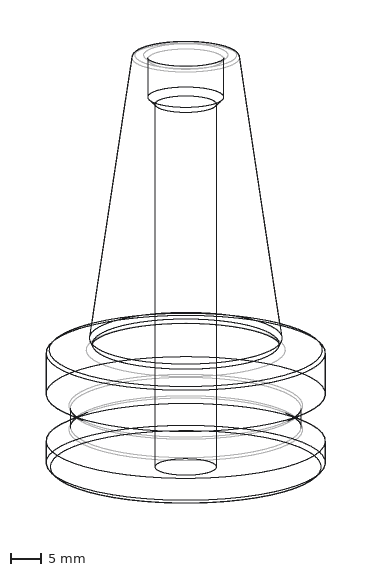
import cadquery as cq
import math

total_height = 70.4
taper_length = 48.4
gauge_z = total_height - taper_length
neck_height = 2.0
flange_top_z = gauge_z - neck_height

taper_ratio = 7 / 24
gauge_radius = 31.75 / 2
tip_radius = gauge_radius - taper_length * taper_ratio / 2
tip_fillet = 0.5

neck_radius = 15.4
neck_fillet = 1.0

flange_radius = 46 / 2
flange_top_chamfer = 0.5
flange_bottom_chamfer = 0.7
groove_floor_radius = 38 / 2
groove_center_z = 8.45
groove_width = 8.0
groove_flank_angle = 28
groove_corner_fillet = 0.5

bore_radius = 10.11 / 2
counterbore_radius = 12.5 / 2
mouth_fillet = 0.7
counterbore_depth = 7.2
seat_angle = 45


def revolve_profile(profile):
    return profile.close().revolve(360, (0, 0, 0), (0, 1, 0))


def make_flange():
    flange = cq.Workplane("XY").circle(flange_radius).extrude(flange_top_z)
    flange = flange.faces(">Z").chamfer(flange_top_chamfer)
    return flange.faces("<Z").chamfer(flange_bottom_chamfer)


def make_groove():
    """Ring-shaped cutter with sloping flanks and rounded floor corners."""
    half_width = groove_width / 2
    flank_height = (flange_radius - groove_floor_radius) * math.tan(math.radians(groove_flank_angle))
    half_floor = half_width - flank_height
    groove = revolve_profile(
        cq.Workplane("XZ")
        .moveTo(groove_floor_radius, groove_center_z - half_floor)
        .lineTo(flange_radius, groove_center_z - half_width)
        .lineTo(flange_radius, groove_center_z + half_width)
        .lineTo(groove_floor_radius, groove_center_z + half_floor)
    )
    floor_edges = cq.selectors.RadiusNthSelector(0)
    return groove.edges(floor_edges).fillet(groove_corner_fillet)


def make_taper():
    """Steep taper with a rounded tip, standing on the relief neck."""
    taper = revolve_profile(
        cq.Workplane("XZ")
        .moveTo(0, flange_top_z)
        .lineTo(neck_radius + neck_fillet, flange_top_z)
        .radiusArc((neck_radius, flange_top_z + neck_fillet), neck_fillet)
        .lineTo(gauge_radius, gauge_z)
        .lineTo(tip_radius, total_height)
        .lineTo(0, total_height)
    )
    return taper.faces(">Z").edges().fillet(tip_fillet)


def make_bore():
    """Through bore, conical seat, counterbore and rounded mouth."""
    seat_top_z = total_height - counterbore_depth
    seat_height = (counterbore_radius - bore_radius) * math.tan(math.radians(seat_angle))
    mouth_radius = counterbore_radius + mouth_fillet
    return revolve_profile(
        cq.Workplane("XZ")
        .lineTo(bore_radius, 0)
        .lineTo(bore_radius, seat_top_z - seat_height)
        .lineTo(counterbore_radius, seat_top_z)
        .lineTo(counterbore_radius, total_height - mouth_fillet)
        .radiusArc((mouth_radius, total_height), mouth_fillet)
        .lineTo(0, total_height)
    )


result = make_flange().cut(make_groove()).union(make_taper()).cut(make_bore())